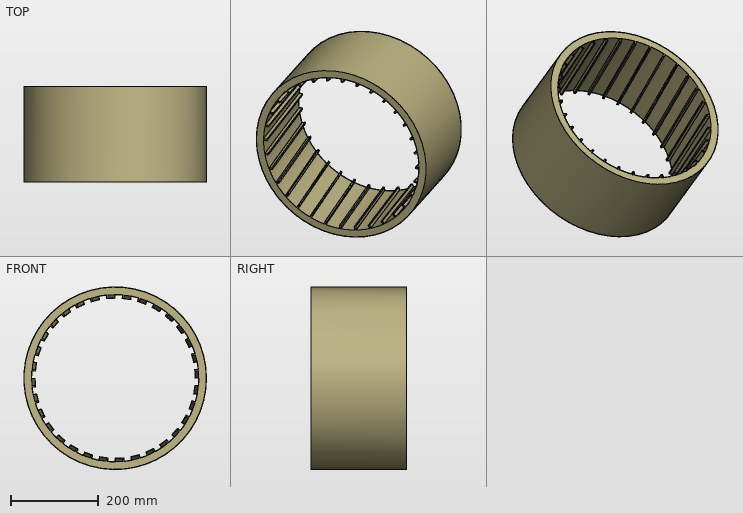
import cadquery as cq

outer_diameter = 416.0
length = 218.0
wall = 18.0
bore_radius = outer_diameter / 2 - wall

rib_count = 32
rib_height = 8.0
rib_width = 3.7
rib_root = 2.0
rib_twist = 5.0
rib_pitch = 360 / rib_count


def ring():
    """Plain tube standing on the XY plane."""
    return cq.Workplane("XY").circle(outer_diameter / 2).circle(bore_radius).extrude(length)


def rib(end_angle):
    """Twisted rib that arrives at end_angle (degrees) at the top of the tube."""
    radial_size = rib_height + rib_root
    centre_radius = bore_radius + rib_root - radial_size / 2
    return (
        cq.Workplane("XY")
        .center(centre_radius, 0)
        .rect(radial_size, rib_width)
        .center(-centre_radius, 0)
        .twistExtrude(length, rib_twist)
        .rotate((0, 0, 0), (0, 0, 1), end_angle - rib_twist)
    )


body = ring()
for index in range(rib_count):
    body = body.union(rib((index + 0.5) * rib_pitch))

result = body.translate((0, 0, -length / 2)).rotate((0, 0, 0), (1, 0, 0), 90)